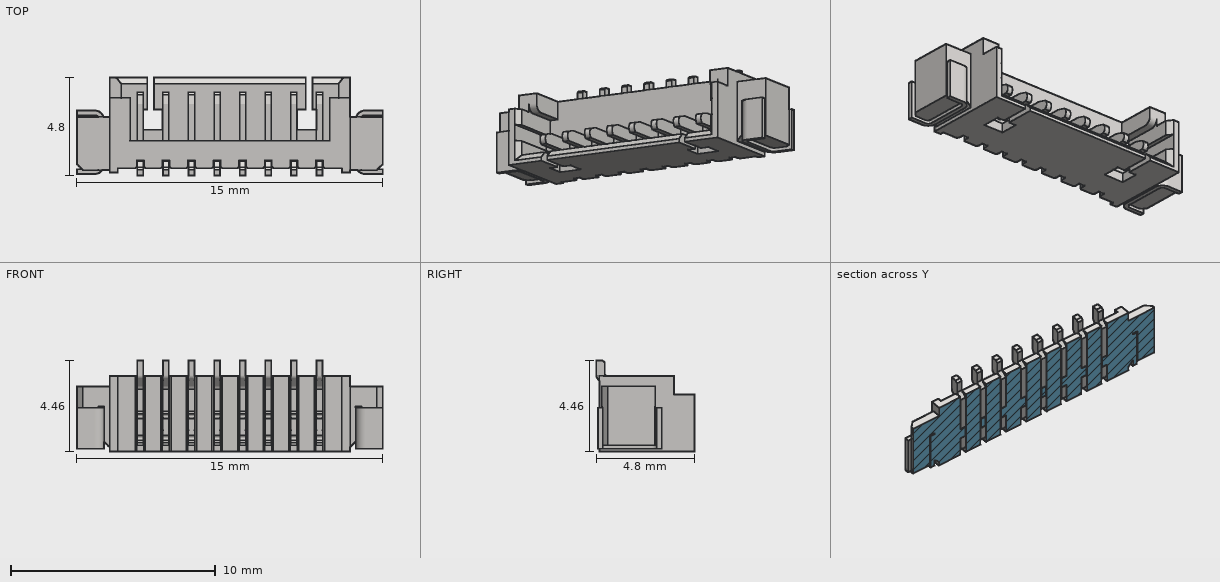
import cadquery as cq
import math


CONTACT_COUNT = 8
PITCH = 1.25
CONTACT_WIDTH = 0.3

OVERALL_LENGTH = 14.95
HOUSING_HALF = 5.875
HOUSING_HEIGHT = 3.7
WALL_FRONT_Y = 0.36
WALL_INNER_Y = 1.71
MOUTH_Y = 4.8
SHOULDER_DEPTH = 1.0
SHOULDER_Y = MOUTH_Y - SHOULDER_DEPTH
SHOULDER_Z = 2.8
FLOOR_Z = 0.5
SIDE_WALL = 1.0
UPPER_CAVITY_HALF = HOUSING_HALF - SIDE_WALL
LOWER_CAVITY_HALF = 5.31
OVERHANG_RADIUS = 0.38
MOUTH_FLARE_X = 0.23
MOUTH_FLARE_Y = 0.31
RAIL_WIDTH = 0.4
RAIL_Y = 0.15

GROOVE_BOTTOM_Z = 1.2
GROOVE_TOP_Z = 2.0
GROOVE_HALF = LOWER_CAVITY_HALF + MOUTH_FLARE_X

OPENING_X = 3.875
GAP_WIDTH = 0.32
WINDOW_WIDTH = 1.16
WINDOW_BACK_Y = 2.25
WINDOW_FRONT_Y = 3.23

SLOT_HALF = 0.17
SLOT_FLARE = 0.08
SLOT_BACK_Y = 0.75

EAR_END = OVERALL_LENGTH / 2
EAR_BOTTOM_Z = 0.31
EAR_TOP_Z = 3.19
EAR_FRONT_Y = 0.275
EAR_BACK_Y = 2.88
EAR_CHAMFER_X = 0.3
EAR_CHAMFER_Y = 0.29
EAR_HAUNCH = 0.27
EAR_HAUNCH_FOOT_Z = 0.22

CLIP_THICKNESS = 0.24
CLIP_RADIUS = 0.46
CLIP_WEB_X = HOUSING_HALF + EAR_HAUNCH
CLIP_FRONT_Y = 0.08
CLIP_BACK_Y = 3.19
CLIP_BOTTOM_Z = 0.14
CLIP_TOP_Z = 2.16
CLIP_CLEARANCE = 0.04

TAIL_TOP_Z = 4.46
TAIL_INNER_Y = 0.42
TAIL_CHAMFER_Y = 0.12
TAIL_CHAMFER_Z = 0.1
TAIL_BEND_OUTER_Z = 3.735
TAIL_BEND_MID_Y = 0.01
TAIL_BEND_MID_Z = 3.665
BEND_START_Y = 0.04
BEND_START_Z = 3.6
BEND_END_Y = 0.36
BEND_END_Z = 3.19
TAIL_BEND_INNER_Z = 3.78

SPINE_Y = 0.41
SPINE_STEP_Y = 0.46
SPINE_BACK_Y = 0.71
SPINE_TOP_Z = 3.06
SPINE_BOTTOM_Z = 0.32
STEP_TOP_Z = 1.98
UPPER_NOTCH_TOP_Z = 1.85
UPPER_NOTCH_BOTTOM_Z = 1.63
LOWER_NOTCH_TOP_Z = 0.8
LOWER_NOTCH_BOTTOM_Z = 0.55
FOOT_TOP_Z = 0.45
NOTCH_BOTTOM_Y = 0.58

BEAM_TOP_Z = 1.65
BEAM_BOTTOM_Z = 1.05
BEAM_TAPER_Y = 3.5
BEAM_ROUND_Y = 3.96
BEAM_ROUND_Z = 1.53
BEAM_TIP_Y = 4.08


def box(x0, x1, y0, y1, z0, z1):
    """Block between two opposite corners."""
    return cq.Workplane("XY").box(x1 - x0, y1 - y0, z1 - z0, centered=False).translate((x0, y0, z0))


def prism_z(points, z0, z1):
    """Polygon in X and Y, extruded from z0 to z1."""
    return cq.Workplane("XY").workplane(offset=z0).polyline(points).close().extrude(z1 - z0)


def prism_x(points, half_width):
    """Polygon in Y and Z, extruded to both sides of X = 0."""
    return cq.Workplane("YZ").polyline(points).close().extrude(half_width, both=True)


def both_ends(left):
    """Feature at the -X end together with its mirror image at the +X end."""
    return left.union(left.mirror("YZ"))


def contact_positions():
    first = -PITCH * (CONTACT_COUNT - 1) / 2
    return [first + PITCH * i for i in range(CONTACT_COUNT)]


def housing_shell():
    side_profile = [
        (WALL_FRONT_Y, 0),
        (MOUTH_Y, 0),
        (MOUTH_Y, SHOULDER_Z),
        (SHOULDER_Y, SHOULDER_Z),
        (SHOULDER_Y, HOUSING_HEIGHT),
        (WALL_FRONT_Y, HOUSING_HEIGHT),
    ]
    shell = prism_x(side_profile, HOUSING_HALF)
    rail = box(-HOUSING_HALF, -HOUSING_HALF + RAIL_WIDTH, RAIL_Y, WALL_FRONT_Y, 0, HOUSING_HEIGHT)
    return shell.union(both_ends(rail))


def cavity():
    upper = box(-UPPER_CAVITY_HALF, UPPER_CAVITY_HALF, WALL_INNER_Y, MOUTH_Y, FLOOR_Z, HOUSING_HEIGHT)
    lower = box(-LOWER_CAVITY_HALF, LOWER_CAVITY_HALF, WALL_INNER_Y, MOUTH_Y, FLOOR_Z, SHOULDER_Z)
    grooves = box(-GROOVE_HALF, GROOVE_HALF, WALL_INNER_Y, MOUTH_Y, GROOVE_BOTTOM_Z, GROOVE_TOP_Z)
    return upper.union(lower).union(grooves).union(overhang_round()).union(mouth_flare())


def overhang_round():
    """Material removed to round the lower mouth-side corner of the side wall overhangs."""
    arc_offset = OVERHANG_RADIUS * (1 - math.sqrt(0.5))
    return (
        cq.Workplane("YZ")
        .moveTo(SHOULDER_Y, SHOULDER_Z)
        .lineTo(SHOULDER_Y, SHOULDER_Z + OVERHANG_RADIUS)
        .threePointArc(
            (SHOULDER_Y - arc_offset, SHOULDER_Z + arc_offset),
            (SHOULDER_Y - OVERHANG_RADIUS, SHOULDER_Z),
        )
        .close()
        .extrude(LOWER_CAVITY_HALF, both=True)
    )


def mouth_flare():
    """Lead-in slopes on the side walls and the floor at the mouth."""
    plan = [
        (-LOWER_CAVITY_HALF, MOUTH_Y - MOUTH_FLARE_Y),
        (LOWER_CAVITY_HALF, MOUTH_Y - MOUTH_FLARE_Y),
        (GROOVE_HALF, MOUTH_Y),
        (-GROOVE_HALF, MOUTH_Y),
    ]
    sides = prism_z(plan, FLOOR_Z, SHOULDER_Z)
    floor_wedge = prism_x(
        [
            (MOUTH_Y - MOUTH_FLARE_Y, FLOOR_Z),
            (MOUTH_Y, FLOOR_Z),
            (MOUTH_Y, FLOOR_Z - MOUTH_FLARE_Y),
        ],
        GROOVE_HALF,
    )
    return sides.union(floor_wedge.intersect(prism_z(plan, 0, FLOOR_Z)))


def floor_openings():
    gap = box(
        -OPENING_X - GAP_WIDTH / 2, -OPENING_X + GAP_WIDTH / 2, WINDOW_FRONT_Y, MOUTH_Y, 0, FLOOR_Z
    )
    window = box(
        -OPENING_X - WINDOW_WIDTH / 2,
        -OPENING_X + WINDOW_WIDTH / 2,
        WINDOW_BACK_Y,
        WINDOW_FRONT_Y,
        0,
        FLOOR_Z,
    )
    return both_ends(gap.union(window))


def tail_slot():
    """Full-height wall slot with flared entry, centred on X = 0."""
    entry_half = SLOT_HALF + SLOT_FLARE
    flare_end_y = WALL_FRONT_Y + SLOT_FLARE
    plan = [
        (-entry_half, WALL_FRONT_Y),
        (entry_half, WALL_FRONT_Y),
        (SLOT_HALF, flare_end_y),
        (SLOT_HALF, SLOT_BACK_Y),
        (-SLOT_HALF, SLOT_BACK_Y),
        (-SLOT_HALF, flare_end_y),
    ]
    return prism_z(plan, 0, HOUSING_HEIGHT)


def ear():
    """Ear at the -X end, with the recess that the clip sits in."""
    profile = [
        (-EAR_END, EAR_BOTTOM_Z),
        (-CLIP_WEB_X, EAR_BOTTOM_Z),
        (-CLIP_WEB_X, EAR_HAUNCH_FOOT_Z + EAR_HAUNCH),
        (-HOUSING_HALF, EAR_HAUNCH_FOOT_Z),
        (-HOUSING_HALF, EAR_TOP_Z),
        (-EAR_END, EAR_TOP_Z),
    ]
    block = cq.Workplane("XZ").polyline(profile).close().extrude(EAR_FRONT_Y - EAR_BACK_Y)
    block = block.translate((0, EAR_FRONT_Y, 0))
    corner = prism_z(
        [
            (-EAR_END, EAR_FRONT_Y),
            (-EAR_END + EAR_CHAMFER_X, EAR_FRONT_Y),
            (-EAR_END, EAR_FRONT_Y + EAR_CHAMFER_Y),
        ],
        0,
        EAR_TOP_Z,
    )
    recess = box(
        -CLIP_WEB_X - CLIP_THICKNESS - CLIP_CLEARANCE,
        -CLIP_WEB_X,
        EAR_FRONT_Y,
        EAR_BACK_Y,
        0,
        CLIP_TOP_Z + CLIP_CLEARANCE,
    )
    return block.cut(corner).cut(recess)


def clip():
    """U-shaped strip at the -X end, bent around two vertical axes."""
    def u_outline(inset):
        web_x = -CLIP_WEB_X - inset
        radius = CLIP_RADIUS - inset
        front_y = CLIP_FRONT_Y + inset
        back_y = CLIP_BACK_Y - inset
        arc_offset = radius * (1 - math.sqrt(0.5))
        return (
            cq.Workplane("XY")
            .workplane(offset=CLIP_BOTTOM_Z)
            .moveTo(-EAR_END, front_y)
            .lineTo(web_x - radius, front_y)
            .threePointArc((web_x - arc_offset, front_y + arc_offset), (web_x, front_y + radius))
            .lineTo(web_x, back_y - radius)
            .threePointArc((web_x - arc_offset, back_y - arc_offset), (web_x - radius, back_y))
            .lineTo(-EAR_END, back_y)
            .close()
            .extrude(CLIP_TOP_Z - CLIP_BOTTOM_Z)
        )

    return u_outline(0).cut(u_outline(CLIP_THICKNESS))


def contact():
    """Flat contact cut to shape in the YZ plane, centred on X = 0."""
    return (
        cq.Workplane("YZ")
        .moveTo(0, TAIL_TOP_Z)
        .lineTo(TAIL_INNER_Y - TAIL_CHAMFER_Y, TAIL_TOP_Z)
        .lineTo(TAIL_INNER_Y, TAIL_TOP_Z - TAIL_CHAMFER_Z)
        .lineTo(TAIL_INNER_Y, TAIL_BEND_INNER_Z)
        .lineTo(SPINE_BACK_Y, TAIL_BEND_INNER_Z - (SPINE_BACK_Y - TAIL_INNER_Y))
        .lineTo(SPINE_BACK_Y, BEAM_TOP_Z)
        .lineTo(BEAM_TAPER_Y, BEAM_TOP_Z)
        .lineTo(BEAM_ROUND_Y, BEAM_ROUND_Z)
        .threePointArc((BEAM_TIP_Y, (BEAM_ROUND_Z + BEAM_BOTTOM_Z) / 2), (BEAM_ROUND_Y, BEAM_BOTTOM_Z))
        .lineTo(SPINE_BACK_Y, BEAM_BOTTOM_Z)
        .lineTo(SPINE_BACK_Y, SPINE_BOTTOM_Z)
        .lineTo(SPINE_Y, SPINE_BOTTOM_Z)
        .lineTo(SPINE_STEP_Y, FOOT_TOP_Z)
        .lineTo(SPINE_STEP_Y, LOWER_NOTCH_BOTTOM_Z)
        .threePointArc(
            (NOTCH_BOTTOM_Y, (LOWER_NOTCH_BOTTOM_Z + LOWER_NOTCH_TOP_Z) / 2), (SPINE_Y, LOWER_NOTCH_TOP_Z)
        )
        .lineTo(SPINE_Y, UPPER_NOTCH_BOTTOM_Z)
        .threePointArc(
            (NOTCH_BOTTOM_Y, (UPPER_NOTCH_BOTTOM_Z + UPPER_NOTCH_TOP_Z) / 2),
            (SPINE_STEP_Y, UPPER_NOTCH_TOP_Z),
        )
        .lineTo(SPINE_STEP_Y, STEP_TOP_Z)
        .lineTo(SPINE_Y, STEP_TOP_Z)
        .lineTo(SPINE_Y, SPINE_TOP_Z)
        .lineTo(BEND_END_Y, BEND_END_Z)
        .lineTo(BEND_START_Y, BEND_START_Z)
        .threePointArc((TAIL_BEND_MID_Y, TAIL_BEND_MID_Z), (0, TAIL_BEND_OUTER_Z))
        .close()
        .extrude(CONTACT_WIDTH / 2, both=True)
    )


housing = housing_shell().cut(cavity()).cut(floor_openings())
slot = tail_slot()
for x in contact_positions():
    housing = housing.cut(slot.translate((x, 0, 0)))

result = housing.union(both_ends(ear())).union(both_ends(clip()))
single_contact = contact()
for x in contact_positions():
    result = result.union(single_contact.translate((x, 0, 0)))